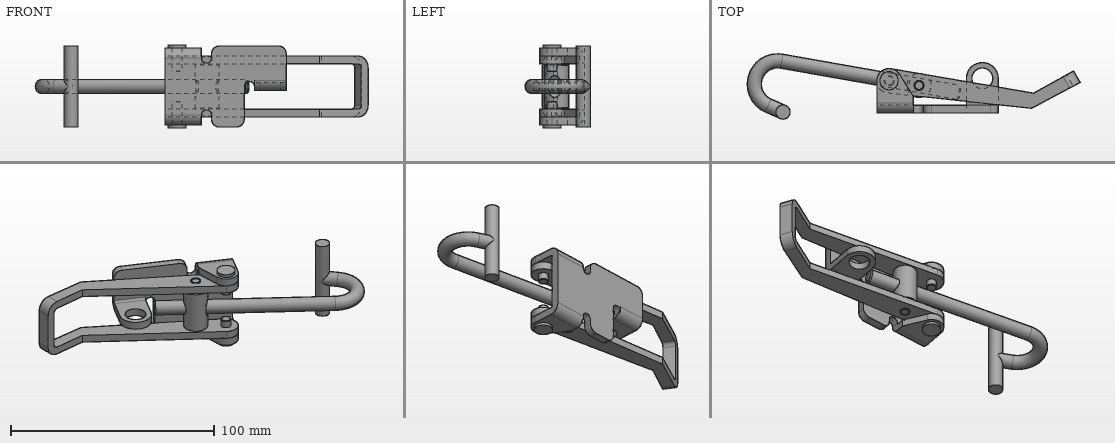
import cadquery as cq
import math


OVERALL_LENGTH = 164.0
SHEET = 4.0
PIVOT_R = 6.0
TILT = math.radians(10)

EAR_OUTER_Z = 19.0
EAR_END_X = 12.0
EAR_SHOULDER_Y = -7.7
BASE_Y = -15.9
BEND_R = 5.0
WING_Z = 20.0
WING_CORNER_R = 4.0
LONG_WING_END_X = 53.8
RELIEF_W = 5.0
RELIEF_FLOOR_Z = 11.5
TAB_RELIEF_FLOOR_Z = 2.5
TAB_OUTER_Z = -SHEET / 2
TAB_R = 7.9
TAB_START_X = LONG_WING_END_X - 2 * TAB_R
SHORT_WING_END_X = TAB_START_X - RELIEF_W
TAB_HOLE_R = 5.1
TAB_HOLE_Y = 1.1

PIN_R = 2.5
PIN_HEAD_D = 9.0
PIN_TIP_Z = 7.4
PIN_END_Z = 20.5
PIN_CHAMFER = 0.3

ARM_OUTER_Z = EAR_OUTER_Z - SHEET
ARM_INNER_Z = ARM_OUTER_Z - SHEET
KNEE_TOP = (71.2, -6.0)
KNEE_BOTTOM = (70.2, -13.6)
GRIP_ANGLE = math.radians(30)
GRIP_W = 6.5
GRIP_END = (94.1, -0.8)
GRIP_INNER_R = 2.0
GRIP_OUTER_R = GRIP_INNER_R + SHEET

BARREL_AT = (14.8, -2.3)
BARREL_R = 12.0 / 2
BARREL_HALF_LENGTH = 10.5
COUNTERSINK_R = 5.4
COUNTERSINK_HALF_ANGLE = math.radians(60)
TRUNNION_R = 2.5
TRUNNION_CHAMFER = 0.5

ROD_R = 7.0 / 2
ROD_END = 20.5
ROD_CHAMFER = 0.7
HOOK_R = 11.5
HOOK_CENTER_X = GRIP_END[0] - OVERALL_LENGTH + ROD_R + HOOK_R
BEND_START_X = HOOK_CENTER_X + HOOK_R * math.sin(TILT)
ROD_LENGTH = (BARREL_AT[0] - BEND_START_X) / math.cos(TILT)
TAIL_ANGLE = math.radians(24)
TAIL_LENGTH = 8.0
CROSSBAR_HALF_LENGTH = 20.0


def polar(center, radius, angle):
    """Point at a radius and angle from a center."""
    return (center[0] + radius * math.cos(angle), center[1] + radius * math.sin(angle))


def tangent_point(point, radius, side):
    """Where the line from a point touches the pivot circle; side is +1 or -1."""
    distance = math.hypot(*point)
    angle = math.atan2(point[1], point[0]) + side * math.acos(radius / distance)
    return polar((0, 0), radius, angle)


def cylinder(center, radius, z_low, z_high):
    """Upright cylinder between two heights."""
    return cq.Workplane("XY", origin=(*center, z_low)).circle(radius).extrude(z_high - z_low)


def box(x_range, y_range, z_range):
    """Box spanning three coordinate ranges."""
    ranges = (x_range, y_range, z_range)
    size = [high - low for low, high in ranges]
    return cq.Workplane("XY", origin=[low for low, high in ranges]).box(*size, centered=False)


def make_channel():
    """U-shaped channel with two ears rounded around the pivot."""
    outer = box((-PIVOT_R, EAR_END_X), (BASE_Y, PIVOT_R), (-EAR_OUTER_Z, EAR_OUTER_Z))
    outer = outer.edges("|X and <Y").fillet(BEND_R)
    inner = box((-PIVOT_R, EAR_END_X), (BASE_Y + SHEET, PIVOT_R), (-ARM_OUTER_Z, ARM_OUTER_Z))
    inner = inner.edges("|X and <Y").fillet(BEND_R - SHEET)
    shoulder = (EAR_END_X, EAR_SHOULDER_Y)
    ear_outline = (
        cq.Workplane("XY")
        .moveTo(-PIVOT_R, BASE_Y)
        .lineTo(-PIVOT_R, 0)
        .threePointArc((0, PIVOT_R), tangent_point(shoulder, PIVOT_R, 1))
        .lineTo(*shoulder)
        .lineTo(EAR_END_X, BASE_Y)
        .close()
        .extrude(EAR_OUTER_Z, both=True)
    )
    return outer.cut(inner).intersect(ear_outline)


def make_wings():
    """Base plate beyond the channel: a long wing above and a short wing below."""
    base_range = (BASE_Y, BASE_Y + SHEET)
    bend_line_z = TAB_OUTER_Z + BEND_R
    wing_start_x = EAR_END_X + RELIEF_W
    neck = box((EAR_END_X, wing_start_x), base_range, (-WING_Z, WING_Z))
    long_wing = box((wing_start_x, LONG_WING_END_X), base_range, (bend_line_z, WING_Z))
    long_wing = long_wing.edges("|Y and >Z").fillet(WING_CORNER_R)
    short_wing = box((wing_start_x, SHORT_WING_END_X), base_range, (-WING_Z, bend_line_z))
    short_wing = short_wing.edges("|Y and <Z").fillet(WING_CORNER_R)
    web = box((SHORT_WING_END_X, TAB_START_X), base_range, (0, bend_line_z))
    wings = neck.union(long_wing).union(short_wing).union(web)
    for side in (1, -1):
        wings = wings.cut(make_relief(EAR_END_X, side * RELIEF_FLOOR_Z, side))
    return wings.cut(make_relief(SHORT_WING_END_X, TAB_RELIEF_FLOOR_Z, -1))


def make_relief(start_x, floor_z, side):
    """Round-ended slot cutter through the base, open towards side * Z."""
    radius = RELIEF_W / 2
    center_x = start_x + radius
    center_z = floor_z + side * radius
    z_range = sorted((center_z, side * (WING_Z + RELIEF_W)))
    slot = box((start_x, start_x + RELIEF_W), (BASE_Y, BASE_Y + SHEET), z_range)
    round_end = (
        cq.Workplane("XZ", origin=(center_x, BASE_Y, center_z)).circle(radius).extrude(-SHEET)
    )
    return slot.union(round_end)


def make_tab():
    """Padlock tab bent up from the edge of the long wing."""
    x_range = (TAB_START_X, LONG_WING_END_X)
    tab_top_y = TAB_HOLE_Y + TAB_R
    bend_line_z = TAB_OUTER_Z + BEND_R
    blank_top_z = bend_line_z + BEND_R
    outer = box(x_range, (BASE_Y, tab_top_y), (TAB_OUTER_Z, blank_top_z))
    outer = outer.edges("|X and <Y and <Z").fillet(BEND_R)
    inner = box(x_range, (BASE_Y + SHEET, tab_top_y), (TAB_OUTER_Z + SHEET, blank_top_z))
    inner = inner.edges("|X and <Y and <Z").fillet(BEND_R - SHEET)
    hole_center = (LONG_WING_END_X - TAB_R, TAB_HOLE_Y)
    rounded = cylinder(hole_center, TAB_R, TAB_OUTER_Z, bend_line_z)
    rounded = rounded.union(box(x_range, (BASE_Y, TAB_HOLE_Y), (TAB_OUTER_Z, bend_line_z)))
    hole = cylinder(hole_center, TAB_HOLE_R, TAB_OUTER_Z, bend_line_z)
    return outer.cut(inner).intersect(rounded).cut(hole)


def make_bracket():
    """Folded sheet bracket with pivot holes in both ears."""
    bracket = make_channel().union(make_wings()).union(make_tab())
    return bracket.cut(cylinder((0, 0), PIN_R, -EAR_OUTER_Z, EAR_OUTER_Z))


def make_handle():
    """Bail handle: two tapered arms joined by a rounded, bent-up grip."""
    grip_x = cq.Vector(math.cos(GRIP_ANGLE), math.sin(GRIP_ANGLE), 0)
    grip_y = cq.Vector(-math.sin(GRIP_ANGLE), math.cos(GRIP_ANGLE), 0)
    grip_corner = polar(GRIP_END, GRIP_W, GRIP_ANGLE + math.pi / 2)
    blank = (
        cq.Workplane("XY")
        .moveTo(*tangent_point(KNEE_TOP, PIVOT_R, 1))
        .threePointArc((-PIVOT_R, 0), tangent_point(KNEE_BOTTOM, PIVOT_R, -1))
        .lineTo(*KNEE_BOTTOM)
        .lineTo(*GRIP_END)
        .lineTo(*grip_corner)
        .lineTo(*KNEE_TOP)
        .close()
        .extrude(ARM_OUTER_Z, both=True)
        .edges(cq.selectors.ParallelDirSelector(grip_y))
        .fillet(GRIP_OUTER_R)
    )
    reach = 2 * GRIP_END[0]
    window = (
        cq.Workplane(cq.Plane(origin=(*GRIP_END, 0), xDir=grip_x, normal=grip_y))
        .center(-SHEET - reach / 2, 0)
        .rect(reach, 2 * ARM_INNER_Z)
        .extrude(reach / 2, both=True)
        .edges(cq.selectors.ParallelDirSelector(grip_y))
        .fillet(GRIP_INNER_R)
    )
    pivot_hole = cylinder((0, 0), PIN_R, -ARM_OUTER_Z, ARM_OUTER_Z)
    trunnion_hole = cylinder(BARREL_AT, TRUNNION_R, -ARM_OUTER_Z, ARM_OUTER_Z)
    return blank.cut(window).cut(pivot_hole).cut(trunnion_hole)


def make_pin(side):
    """Headed pivot pin through one ear and one handle arm; side is +1 or -1."""
    shank = cylinder((0, 0), PIN_R, PIN_TIP_Z, EAR_OUTER_Z).faces("<Z").chamfer(PIN_CHAMFER)
    pin = shank.union(cylinder((0, 0), PIN_HEAD_D / 2, EAR_OUTER_Z, PIN_END_Z))
    return pin if side > 0 else pin.mirror("XY")


def rod_workplane(distance):
    """Workplane across the rod, at a distance along it from the barrel axis."""
    direction = cq.Vector(math.cos(TILT), -math.sin(TILT), 0)
    origin = cq.Vector(*BARREL_AT) + direction * distance
    return cq.Workplane(cq.Plane(origin, (0, 0, 1), direction))


def make_rod_segment(start, end):
    """Rod cylinder between two distances along the rod."""
    return rod_workplane(start).circle(ROD_R).extrude(end - start)


def make_countersink():
    """Cone that opens the rod bore where the hook enters the barrel."""
    depth = (COUNTERSINK_R - ROD_R) / math.tan(COUNTERSINK_HALF_ANGLE)
    mouth = rod_workplane(-BARREL_R).circle(COUNTERSINK_R)
    return mouth.workplane(offset=depth).circle(ROD_R).loft(ruled=True)


def make_barrel():
    """Cross barrel with a trunnion at each end, bored for the hook rod."""
    trunnions = cylinder(BARREL_AT, TRUNNION_R, -ARM_OUTER_Z, ARM_OUTER_Z)
    trunnions = trunnions.faces("<Z or >Z").chamfer(TRUNNION_CHAMFER)
    body = cylinder(BARREL_AT, BARREL_R, -BARREL_HALF_LENGTH, BARREL_HALF_LENGTH)
    bore = make_rod_segment(-2 * BARREL_R, 2 * BARREL_R)
    return body.union(trunnions).cut(bore).cut(make_countersink())


def make_hook():
    """Straight rod through the barrel, bent into a hook that ends in a crossbar."""
    straight = make_rod_segment(-ROD_LENGTH, ROD_END).faces(">X").chamfer(ROD_CHAMFER)
    bend_start = polar(BARREL_AT, ROD_LENGTH, math.pi - TILT)
    bend_center = polar(bend_start, HOOK_R, -math.pi / 2 - TILT)
    bend_end = polar(bend_center, HOOK_R, -math.pi / 2 - TAIL_ANGLE)
    tail_end = polar(bend_end, TAIL_LENGTH, -TAIL_ANGLE)
    path = (
        cq.Workplane("XY")
        .moveTo(*bend_start)
        .threePointArc(polar(bend_center, HOOK_R, math.pi), bend_end)
        .lineTo(*tail_end)
    )
    start_direction = cq.Vector(-math.cos(TILT), math.sin(TILT), 0)
    start_plane = cq.Plane((*bend_start, 0), (0, 0, 1), start_direction)
    bend = cq.Workplane(start_plane).circle(ROD_R).sweep(path)
    crossbar = cylinder(tail_end, ROD_R, -CROSSBAR_HALF_LENGTH, CROSSBAR_HALF_LENGTH)
    return straight.union(bend).union(crossbar)


bracket = make_bracket()
handle = make_handle()
barrel = make_barrel()
hook = make_hook()
pins = [make_pin(side) for side in (1, -1)]

result = cq.Compound.makeCompound(
    [bracket.val(), handle.val(), barrel.val(), hook.val(), *[pin.val() for pin in pins]]
)